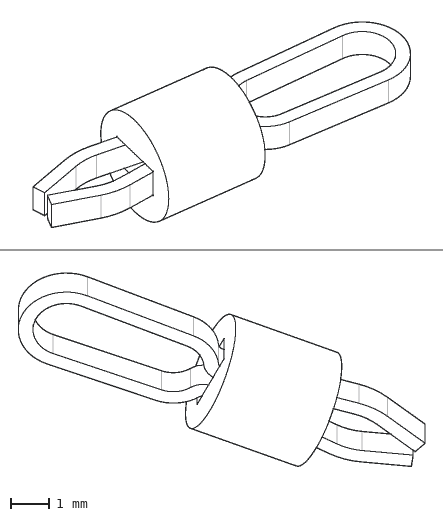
import cadquery as cq
import math

housing_diameter = 3.17
housing_length = 3.06

overall_length = 11.42
front_reach = 2.93
strip_thickness = 0.39
strip_width = 0.8

slot_height = 0.85

loop_radius = 1.07
shoulder_radius = 0.97
neck_radius = 0.38
knee_radius = 1.86

loop_top_slope = -90.0
side_slope = 1.3
neck_slope = 60.0
leg_slope = -6.3
tip_slope = 18.0

side_length = 3.1
tip_length = 1.35

tip_corner_rise = strip_thickness / 2 * math.sin(math.radians(tip_slope))
loop_top = overall_length - front_reach - strip_thickness / 2


def travel(slope):
    """Unit vector along the strip at a given slope."""
    angle = math.radians(slope)
    return cq.Vector(-math.sin(angle), -math.cos(angle), 0)


def bend_points(start, radius, slope_in, slope_out):
    """Middle and end points of an arc that turns from one slope to another."""
    side = math.copysign(1, slope_out - slope_in)

    def spoke(slope):
        return travel(slope + 90) * (side * radius)

    center = start + spoke(slope_in)
    middle = center - spoke((slope_in + slope_out) / 2)
    return middle, center - spoke(slope_out)


def bend_drop(radius, slope_in, slope_out):
    """Distance that a bend moves the centreline towards -Y."""
    return radius * abs(math.sin(math.radians(slope_out)) - math.sin(math.radians(slope_in)))


leg_drop = (
    overall_length - strip_thickness / 2 - tip_corner_rise
    - bend_drop(loop_radius, loop_top_slope, side_slope)
    - side_length * math.cos(math.radians(side_slope))
    - bend_drop(shoulder_radius, side_slope, neck_slope)
    - bend_drop(neck_radius, neck_slope, leg_slope)
    - bend_drop(knee_radius, leg_slope, tip_slope)
    - tip_length * math.cos(math.radians(tip_slope))
)
leg_length = leg_drop / math.cos(math.radians(leg_slope))

stretches = [
    (loop_radius, side_slope, side_length),
    (shoulder_radius, neck_slope, 0),
    (neck_radius, leg_slope, leg_length),
    (knee_radius, tip_slope, tip_length),
]


def half_centreline():
    """Centreline of the +X half, from the loop top to the leg tip."""
    point = cq.Vector(0, loop_top, 0)
    slope = loop_top_slope
    edges = []
    for radius, next_slope, length in stretches:
        middle, end = bend_points(point, radius, slope, next_slope)
        edges.append(cq.Edge.makeThreePointArc(point, middle, end))
        point, slope = end, next_slope
        if length > 0:
            end = point + travel(slope) * length
            edges.append(cq.Edge.makeLine(point, end))
            point = end
    return cq.Wire.assembleEdges(edges)


def make_clip():
    half = (
        cq.Workplane("YZ", origin=(0, loop_top, 0))
        .rect(strip_thickness, strip_width)
        .sweep(cq.Workplane(half_centreline()))
    )
    return half.union(half.mirror("YZ"))


def leg_outer_edge_at_front():
    """Distance from the YZ plane to a leg's outer edge at the housing front face."""
    leg_angle = math.radians(leg_slope)
    knee_start = half_centreline().Edges()[-2].startPoint()
    outer = knee_start - travel(leg_slope + 90) * (strip_thickness / 2)
    return outer.x - outer.y * math.tan(leg_angle)


def make_housing():
    slot_width = 2 * leg_outer_edge_at_front()
    cylinder = cq.Workplane("XZ").circle(housing_diameter / 2).extrude(-housing_length)
    slot = cq.Workplane("XZ").rect(slot_width, slot_height).extrude(-housing_length)
    return cylinder.cut(slot)


clip = make_clip()
housing = make_housing()

result = cq.Compound.makeCompound([housing.val(), *clip.solids().vals()])